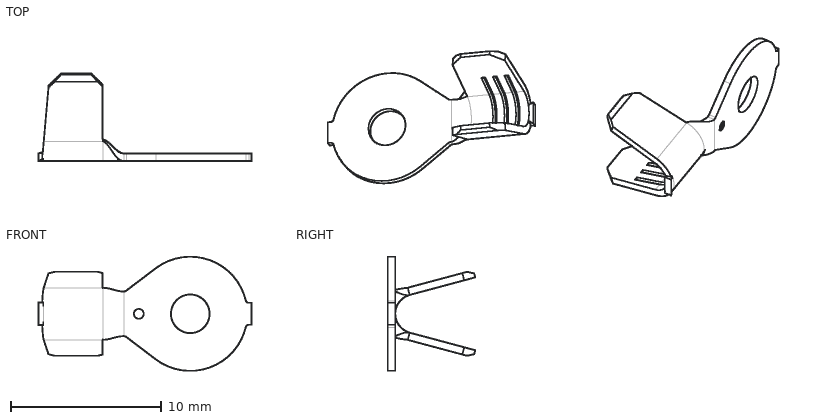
import math

import cadquery as cq


sheet = 0.51
left_end_x = -10.12
right_end_x = 4.1
leg_tip_y = 5.85

lug_radius = 3.81
hole_radius = 1.28
neck_half_width = 1.5
neck_start_x = -4.44
neck_corner_x = -4.34
neck_fillet = 0.28
end_tab_half_width = 0.74
end_tab_fillet = 0.18
dimple_x = -3.43
dimple_radius = 0.33
dimple_depth = 0.13

barrel_radius = 1.8
leg_angle = math.radians(15)
barrel_right_x = -5.83
barrel_left_x = -9.88
left_edge_slope = 0.088
corner_cut = 0.77
bevel_length = 0.44
bevel_depth = 0.23
cut_off_half_width = 0.75

groove_count = 3
first_groove_x = -9.07
groove_pitch = 0.8
groove_width = 0.27
groove_depth = 0.1
groove_end_y = 3.34

transition_steps = 4

margin = 0.43

inner_radius = barrel_radius - sheet
arc_half_angle = math.pi / 2 - leg_angle
leg_start_y = barrel_radius - inner_radius * math.sin(leg_angle)
leg_length = (leg_tip_y - leg_start_y) / math.cos(leg_angle)


def arc_point(radius, angle, center_y=barrel_radius):
    """Point (y, z) on a circle about (center_y, 0), with the angle measured from -Y."""
    return (center_y - radius * math.cos(angle), radius * math.sin(angle))


def leg_point(along, outward, side):
    """Point (y, z) on a leg: distance past the bend and height above its inner face."""
    y, z = arc_point(inner_radius + outward, arc_half_angle)
    return (y + along * math.cos(leg_angle), side * (z + along * math.sin(leg_angle)))


def upright_edges_at(x):
    """Selector for the edges through the sheet of the lug at the given x."""
    window = 0.01
    near_x = cq.selectors.BoxSelector(
        (x - window, 0, -lug_radius), (x + window, sheet, lug_radius)
    )
    return cq.selectors.AndSelector(near_x, cq.selectors.ParallelDirSelector(cq.Vector(0, 1, 0)))


def make_lug():
    """Flat teardrop: round disc, straight flanks down to the neck, end tab and hole."""
    corner_distance = math.hypot(neck_corner_x, neck_half_width)
    corner_angle = math.atan2(neck_half_width, -neck_corner_x)
    tangent_angle = corner_angle + math.acos(lug_radius / corner_distance)
    tangent_x = -lug_radius * math.cos(tangent_angle)
    tangent_z = lug_radius * math.sin(tangent_angle)
    lug = (
        cq.Workplane("XZ")
        .moveTo(neck_start_x, -neck_half_width)
        .lineTo(neck_corner_x, -neck_half_width)
        .lineTo(tangent_x, -tangent_z)
        .threePointArc((lug_radius, 0), (tangent_x, tangent_z))
        .lineTo(neck_corner_x, neck_half_width)
        .lineTo(neck_start_x, neck_half_width)
        .close()
        .extrude(-sheet)
    )
    end_tab = (
        cq.Workplane("XZ")
        .center(right_end_x / 2, 0)
        .rect(right_end_x, 2 * end_tab_half_width)
        .extrude(-sheet)
    )
    tab_root_x = math.sqrt(lug_radius**2 - end_tab_half_width**2)
    lug = lug.union(end_tab)
    lug = lug.edges(upright_edges_at(tab_root_x)).fillet(end_tab_fillet)
    lug = lug.edges(upright_edges_at(neck_corner_x)).fillet(neck_fillet)
    hole = cq.Workplane("XZ").circle(hole_radius).extrude(-sheet)
    dimple = cq.Workplane("XZ").center(dimple_x, 0).circle(dimple_radius).extrude(-dimple_depth)
    return lug.cut(hole).cut(dimple)


def make_barrel_blank():
    """U section along X with the outer edge of both leg tips bevelled."""
    return (
        cq.Workplane("YZ", origin=(left_end_x, 0, 0))
        .moveTo(*leg_point(0, sheet, -1))
        .threePointArc((0, 0), leg_point(0, sheet, 1))
        .lineTo(*leg_point(leg_length - bevel_length, sheet, 1))
        .lineTo(*leg_point(leg_length, sheet - bevel_depth, 1))
        .lineTo(*leg_point(leg_length, 0, 1))
        .lineTo(*leg_point(0, 0, 1))
        .threePointArc((sheet, 0), leg_point(0, 0, -1))
        .lineTo(*leg_point(leg_length, 0, -1))
        .lineTo(*leg_point(leg_length, sheet - bevel_depth, -1))
        .lineTo(*leg_point(leg_length - bevel_length, sheet, -1))
        .close()
        .extrude(barrel_right_x - left_end_x)
    )


def make_left_edge_cutter():
    """Wedge that leans the left end of the barrel towards +X as the legs rise."""
    top_y = leg_tip_y + margin
    return (
        cq.Workplane("XY")
        .moveTo(left_end_x - margin, 0)
        .lineTo(barrel_left_x, 0)
        .lineTo(barrel_left_x + left_edge_slope * top_y, top_y)
        .lineTo(left_end_x - margin, top_y)
        .close()
        .extrude(lug_radius, both=True)
    )


def make_corner_cutter(corner_x, inward):
    """45 degree cutter for one tip corner of the upper leg, square to the leg face."""
    root_y, root_z = leg_point(0, 0, 1)
    leg_plane = cq.Plane(
        origin=(0, root_y, root_z),
        xDir=(1, 0, 0),
        normal=(0, -math.sin(leg_angle), math.cos(leg_angle)),
    )
    outside_x = corner_x - inward * margin
    side = corner_cut + 2 * margin
    return (
        cq.Workplane(leg_plane)
        .moveTo(outside_x, leg_length + margin)
        .lineTo(outside_x + inward * side, leg_length + margin)
        .lineTo(outside_x, leg_length + margin - side)
        .close()
        .extrude(2 * sheet, both=True)
    )


def make_groove(x):
    """V groove that follows the inside of the U from one leg to the other."""
    straight = (groove_end_y - leg_start_y) / math.cos(leg_angle)
    path = (
        cq.Workplane("YZ", origin=(x, 0, 0))
        .moveTo(*leg_point(straight, 0, -1))
        .lineTo(*leg_point(0, 0, -1))
        .threePointArc((sheet, 0), leg_point(0, 0, 1))
        .lineTo(*leg_point(straight, 0, 1))
    )
    start_y, start_z = leg_point(straight, 0, -1)
    section_plane = cq.Plane(
        origin=(x, start_y, start_z),
        xDir=(1, 0, 0),
        normal=(0, -math.cos(leg_angle), math.sin(leg_angle)),
    )
    section = cq.Workplane(section_plane).polyline(
        [(-groove_width / 2, 0), (0, groove_depth), (groove_width / 2, 0), (0, -groove_depth)]
    )
    return section.close().sweep(path)


def make_barrel():
    barrel = make_barrel_blank().cut(make_left_edge_cutter())
    left_corner_x = barrel_left_x + left_edge_slope * leg_tip_y
    for corner_x, inward in ((left_corner_x, 1), (barrel_right_x, -1)):
        cutter = make_corner_cutter(corner_x, inward)
        barrel = barrel.cut(cutter).cut(cutter.mirror("XY"))
    for i in range(groove_count):
        barrel = barrel.cut(make_groove(first_groove_x + i * groove_pitch))
    return barrel


def band_wire(x, half_width, half_angle):
    """Closed section of the bent sheet at x; a zero half angle gives a flat strip."""
    section = cq.Workplane("YZ", origin=(x, 0, 0))
    if half_angle == 0:
        section = (
            section.moveTo(0, -half_width)
            .lineTo(0, half_width)
            .lineTo(sheet, half_width)
            .lineTo(sheet, -half_width)
        )
    else:
        radius = half_width / math.sin(half_angle)
        section = (
            section.moveTo(*arc_point(radius, -half_angle, radius))
            .threePointArc((0, 0), arc_point(radius, half_angle, radius))
            .lineTo(*arc_point(radius - sheet, half_angle, radius))
            .threePointArc((sheet, 0), arc_point(radius - sheet, -half_angle, radius))
        )
    return section.close().val()


def make_transition():
    """Sheet that flattens smoothly from the barrel arc to the neck strip."""
    barrel_half_width = barrel_radius * math.sin(arc_half_angle)
    wires = []
    for i in range(transition_steps + 1):
        t = i / transition_steps
        blend = t * t * (3 - 2 * t)
        wires.append(
            band_wire(
                barrel_right_x + t * (neck_start_x - barrel_right_x),
                barrel_half_width + blend * (neck_half_width - barrel_half_width),
                arc_half_angle * (1 - blend),
            )
        )
    return cq.Workplane(cq.Solid.makeLoft(wires))


def make_cut_off_tab():
    """Short flat tab at the left end that blends into the barrel wall."""
    inside_x = barrel_left_x + left_edge_slope * 2 * sheet
    tab_angle = math.asin(cut_off_half_width / barrel_radius)
    wires = [
        band_wire(left_end_x, cut_off_half_width, 0),
        band_wire(inside_x, cut_off_half_width, tab_angle),
    ]
    return cq.Workplane(cq.Solid.makeLoft(wires, ruled=True))


result = make_lug().union(make_transition()).union(make_barrel()).union(make_cut_off_tab())